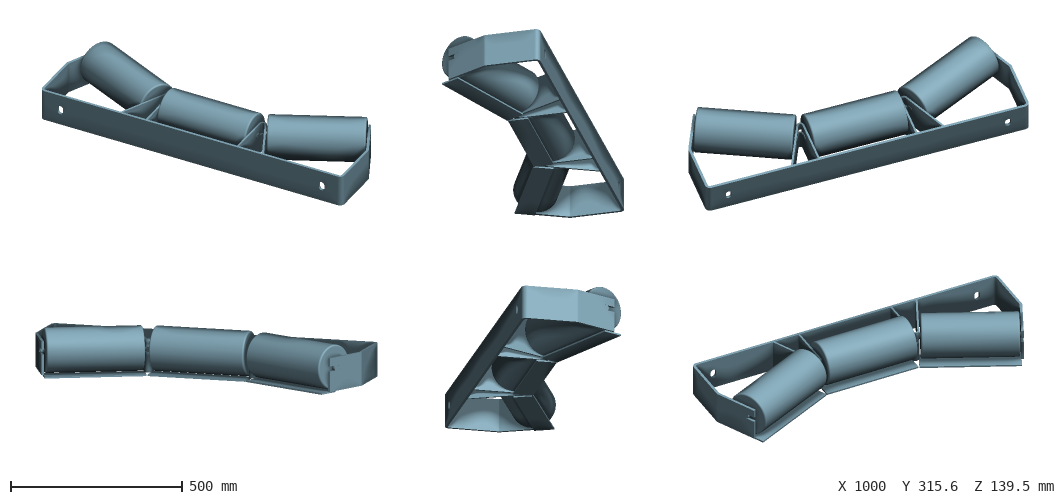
import cadquery as cq
import math


frame_length = 1000.0
trough_angle = 25.0
plate_thickness = 5.0
frame_height = 100.0
frame_bottom = plate_thickness
frame_middle_z = frame_bottom + frame_height / 2

roller_radius = 66.5
roller_length = 290.0
roller_edge_radius = 5.0
roller_top = 139.5
roller_axis_z = roller_top - roller_radius
spindle_radius = 10.0
spindle_length = 312.0
spindle_flat_width = 15.0
center_roller_y = 125.0
wing_roller_x = 313.5
wing_roller_y = 195.7

strip_thickness = 8.0
strip_bend_radius = 15.0
frame_knee_y = 165.5
arm_tip_y = 290.0
mounting_hole_x = 432.0
mounting_hole_width = 18.0
mounting_hole_height = 28.0

bracket_thickness = 6.0
bracket_bend_radius = 12.0
bracket_leg_x = 148.0
bracket_foot_x = 237.0

plate_length = 300.0
plate_width = 60.0

lean_x = math.sin(math.radians(trough_angle))
lean_y = math.cos(math.radians(trough_angle))
lean_slope = lean_x / lean_y

roller_places = [
    (-wing_roller_x, wing_roller_y, -trough_angle),
    (0.0, center_roller_y, 0.0),
    (wing_roller_x, wing_roller_y, trough_angle),
]


def set_at_roller(body, place):
    """Move a body modelled about the origin, along X, to a roller place."""
    x, y, angle = place
    return body.rotate((0, 0, 0), (0, 0, 1), angle).translate((x, y, 0))


def make_roller():
    """Drum with rounded rims and a spindle flattened above and below at both ends."""
    drum = (
        cq.Workplane("YZ", origin=(-roller_length / 2, 0, roller_axis_z))
        .circle(roller_radius)
        .extrude(roller_length)
        .edges()
        .fillet(roller_edge_radius)
    )
    spindle = (
        cq.Workplane("YZ", origin=(-spindle_length / 2, 0, roller_axis_z))
        .circle(spindle_radius)
        .extrude(spindle_length)
    )
    flats = cq.Workplane(origin=(0, 0, roller_axis_z)).box(
        spindle_length, 2 * spindle_radius, spindle_flat_width
    )
    return drum.union(spindle.intersect(flats))


def make_spindle_slots():
    """Slot cutters at every spindle: rounded below the spindle and open toward +Y."""
    slot_reach = bracket_leg_x / 2
    slot_length = spindle_length + 2 * strip_thickness
    seat = (
        cq.Workplane("YZ", origin=(-slot_length / 2, 0, roller_axis_z))
        .circle(spindle_radius)
        .extrude(slot_length)
    )
    opening = cq.Workplane(origin=(0, slot_reach / 2, roller_axis_z)).box(
        slot_length, slot_reach, 2 * spindle_radius
    )
    flats = cq.Workplane(origin=(0, 0, roller_axis_z)).box(
        slot_length, 2 * slot_reach, spindle_flat_width
    )
    slot = seat.union(opening).intersect(flats)
    return [set_at_roller(slot, place) for place in roller_places]


def round_bend(strip, x, y, radius):
    """Round the vertical edge of a strip that stands at x, y."""
    edge_at_bend = cq.selectors.NearestToPointSelector((x, y, frame_middle_z))
    return strip.edges("|Z").edges(edge_at_bend).fillet(radius)


def make_frame(slots):
    """Strip bent into a shallow U whose ends lean inward, with two mounting holes."""
    half = frame_length / 2
    arm_length = (arm_tip_y - frame_knee_y) / lean_y
    tip_x = half - arm_length * lean_x
    inner_half = half - strip_thickness
    inner_knee_y = frame_knee_y - strip_thickness * math.tan(math.radians(trough_angle / 2))
    inner_tip = (tip_x - strip_thickness * lean_y, arm_tip_y - strip_thickness * lean_x)
    right_side = [
        (half, 0),
        (half, frame_knee_y),
        (tip_x, arm_tip_y),
        inner_tip,
        (inner_half, inner_knee_y),
        (inner_half, strip_thickness),
    ]
    left_side = [(-x, y) for x, y in reversed(right_side)]
    frame = (
        cq.Workplane(origin=(0, 0, frame_bottom))
        .polyline(right_side + left_side)
        .close()
        .extrude(frame_height)
    )
    inner_bend_radius = strip_bend_radius - strip_thickness
    bend_edges = [
        (half, 0, strip_bend_radius),
        (half, frame_knee_y, strip_bend_radius),
        (inner_half, strip_thickness, inner_bend_radius),
        (inner_half, inner_knee_y, inner_bend_radius),
    ]
    for x, y, radius in bend_edges:
        for side in (-1, 1):
            frame = round_bend(frame, side * x, y, radius)
    holes = (
        cq.Workplane("XZ", origin=(0, 0, frame_middle_z))
        .pushPoints([(-mounting_hole_x, 0), (mounting_hole_x, 0)])
        .slot2D(mounting_hole_height, mounting_hole_width, 90)
        .extrude(-strip_thickness)
    )
    frame = frame.cut(holes)
    for slot in slots:
        frame = frame.cut(slot)
    return frame


def make_bracket(side, slots):
    """Inverted V strip: one leg square to the frame, one inclined, joined by a round bend."""
    foot_y = strip_thickness
    apex_y = foot_y + (bracket_foot_x - bracket_leg_x) / lean_slope
    inner_leg_x = bracket_leg_x + bracket_thickness
    inner_foot_x = bracket_foot_x - bracket_thickness / lean_y
    inner_apex_y = foot_y + (inner_foot_x - inner_leg_x) / lean_slope
    outline = [
        (bracket_leg_x, foot_y),
        (bracket_leg_x, apex_y),
        (bracket_foot_x, foot_y),
        (inner_foot_x, foot_y),
        (inner_leg_x, inner_apex_y),
        (inner_leg_x, foot_y),
    ]
    bracket = (
        cq.Workplane(origin=(0, 0, frame_bottom))
        .polyline([(side * x, y) for x, y in outline])
        .close()
        .extrude(frame_height)
    )
    bends = [
        (bracket_leg_x, apex_y, bracket_bend_radius),
        (inner_leg_x, inner_apex_y, bracket_bend_radius - bracket_thickness),
    ]
    for x, y, radius in bends:
        bracket = round_bend(bracket, side * x, y, radius)
    for slot in slots:
        bracket = bracket.cut(slot)
    return bracket


def make_plate():
    """Flat plate under the +Y half of a roller."""
    return cq.Workplane().box(
        plate_length, plate_width, plate_thickness, centered=(True, False, False)
    )


spindle_slots = make_spindle_slots()
frame = make_frame(spindle_slots)
brackets = [make_bracket(side, spindle_slots) for side in (-1, 1)]
rollers = [set_at_roller(make_roller(), place) for place in roller_places]
plates = [set_at_roller(make_plate(), place) for place in roller_places]

bodies = [frame, *brackets, *rollers, *plates]
result = cq.Compound.makeCompound([body.solids().val() for body in bodies])